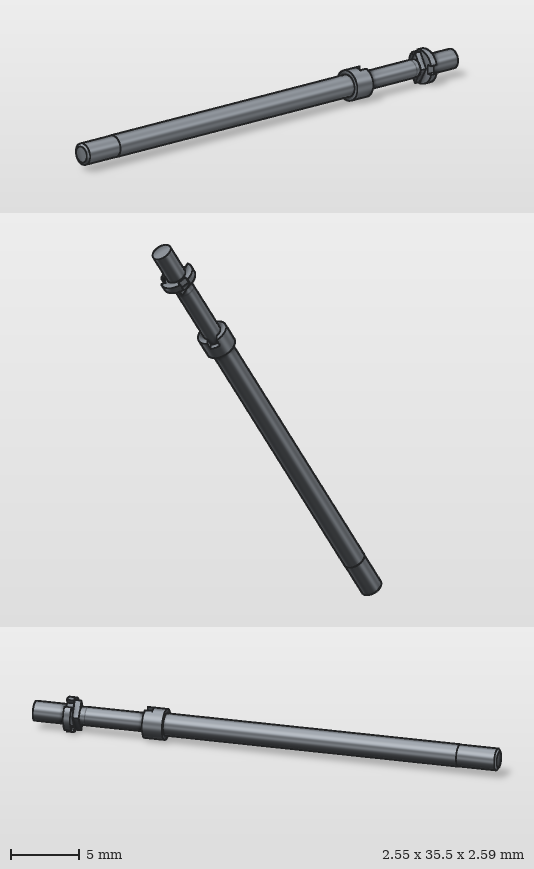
import cadquery as cq

LENGTH = 35.5
FLANGE_START = 2.5
FLANGE_END = 3.0
KEY_END = 3.5
NECK_TAPER_END = 3.95
COLLAR_START = 8.5
COLLAR_END = 10.0
END_SECTION_START = 32.45

HEAD_RADIUS = 0.75
NECK_RADIUS = 0.692
NECK_TAPER_DROP = 0.05
COLLAR_RADIUS = 1.155
SHAFT_RADIUS = 0.835
END_SECTION_RADIUS = 0.8
TIP_LENGTH = 0.15
TIP_TAPER_DROP = 0.2

SLOT_WIDTH = 0.75
SLOT_LENGTH = 0.57

FLANGE_RADIUS = 1.295
LOBES = 3
NOTCH_WIDTH = 0.67
NOTCH_FLOOR = 0.9

KEY_HALF_HEIGHT = 1.17
KEY_HALF_WIDTH = 0.67

Y_MAX = LENGTH / 2


def plane_at(station):
    """XZ plane at a distance from the +Y end; extrusions run towards -Y."""
    return cq.Workplane("XZ", origin=(0, Y_MAX - station, 0))


def cylinder(start, end, radius):
    return plane_at(start).circle(radius).extrude(end - start)


def cone(start, end, start_radius, end_radius):
    profile = [
        (0, Y_MAX - start),
        (start_radius, Y_MAX - start),
        (end_radius, Y_MAX - end),
        (0, Y_MAX - end),
    ]
    return cq.Workplane("XY").polyline(profile).close().revolve(360, (0, 0, 0), (0, 1, 0))


def lobed_flange():
    thickness = FLANGE_END - FLANGE_START
    notch = (
        plane_at(FLANGE_START)
        .center(NOTCH_FLOOR + FLANGE_RADIUS / 2, 0)
        .rect(FLANGE_RADIUS, NOTCH_WIDTH)
        .extrude(thickness)
    )
    body = cylinder(FLANGE_START, FLANGE_END, FLANGE_RADIUS)
    for i in range(LOBES):
        body = body.cut(notch.rotate((0, 0, 0), (0, 1, 0), i * 360 / LOBES))
    return body


def diamond_key():
    corners = [(KEY_HALF_WIDTH, 0), (0, KEY_HALF_HEIGHT), (-KEY_HALF_WIDTH, 0), (0, -KEY_HALF_HEIGHT)]
    return plane_at(FLANGE_END).polyline(corners).close().extrude(KEY_END - FLANGE_END)


def slotted_collar():
    """Collar with a slot at +Z and at -Z; the neck fills the middle as the slot floor."""
    slots = plane_at(COLLAR_START).rect(SLOT_WIDTH, 2 * COLLAR_RADIUS).extrude(SLOT_LENGTH)
    return cylinder(COLLAR_START, COLLAR_END, COLLAR_RADIUS).cut(slots)


TIP_START = LENGTH - TIP_LENGTH
TIP_RADIUS = END_SECTION_RADIUS - TIP_TAPER_DROP
NECK_START_RADIUS = NECK_RADIUS - NECK_TAPER_DROP

result = (
    cylinder(0, FLANGE_START, HEAD_RADIUS)
    .union(lobed_flange())
    .union(diamond_key())
    .union(cone(KEY_END, NECK_TAPER_END, NECK_START_RADIUS, NECK_RADIUS))
    .union(slotted_collar())
    .union(cylinder(NECK_TAPER_END, COLLAR_END, NECK_RADIUS))
    .union(cylinder(COLLAR_END, END_SECTION_START, SHAFT_RADIUS))
    .union(cylinder(END_SECTION_START, TIP_START, END_SECTION_RADIUS))
    .union(cone(TIP_START, LENGTH, END_SECTION_RADIUS, TIP_RADIUS))
)